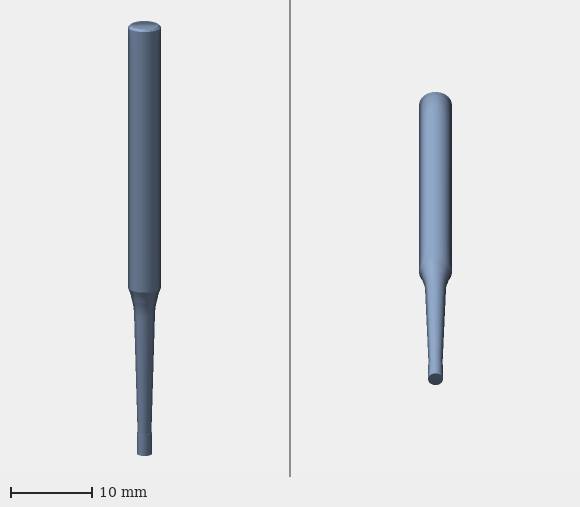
import cadquery as cq

total_length = 55.0
shank_diameter = 4.0
cutter_diameter = 1.8
neck_tip_diameter = 1.7
blend_diameter = 2.6
flare_diameter = 3.15

cutter_length = 2.75
blend_height = 18.15
flare_height = 19.8
shank_height = 21.3

end_chamfer_width = 0.3
end_chamfer_height = 0.3

flare_sag = 0.05


def concave_midpoint(start, end):
    """Middle of a concave arc, set inward from the middle of its chord."""
    return ((start[0] + end[0]) / 2 - flare_sag, (start[1] + end[1]) / 2)


def make_cutter():
    """Plain cylindrical cutting head, with its tip at Z = 0."""
    return cq.Workplane("XY").circle(cutter_diameter / 2).extrude(cutter_length)


def make_holder():
    """Shank, concave flare and tapered neck as one revolved body."""
    neck_tip = (neck_tip_diameter / 2, cutter_length)
    blend = (blend_diameter / 2, blend_height)
    flare = (flare_diameter / 2, flare_height)
    shank = (shank_diameter / 2, shank_height)
    profile = (
        cq.Workplane("XZ")
        .moveTo(0, cutter_length)
        .lineTo(*neck_tip)
        .lineTo(*blend)
        .threePointArc(concave_midpoint(blend, flare), flare)
        .threePointArc(concave_midpoint(flare, shank), shank)
        .lineTo(shank_diameter / 2, total_length - end_chamfer_height)
        .lineTo(shank_diameter / 2 - end_chamfer_width, total_length)
        .lineTo(0, total_length)
        .close()
    )
    return profile.revolve(360, (0, 0, 0), (0, 1, 0))


cutter = make_cutter()
holder = make_holder()

result = cq.Compound.makeCompound([cutter.val(), holder.val()])